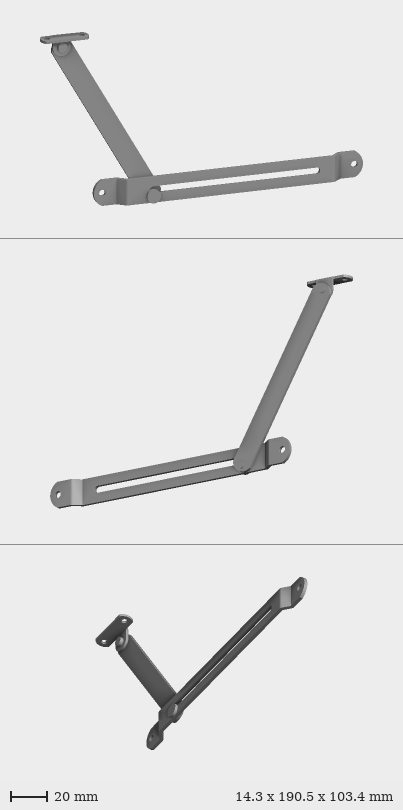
import cadquery as cq
import math


sheet = 2.0
arm_x = sheet
second_layer_x = arm_x + sheet
rivet_tail_proud = 0.5
rivet_head_end_x = 7.6

rail_length = 156.7
rail_height = 14.9
rail_end_depth = 4.7
rail_hole_diameter = 3.8
rail_hole_inset = 5.0
rail_end_flat = 13.2
bend_angle = math.radians(40)
slot_width = 4.0
slot_far_y = 130.3
rail_mid_z = rail_height / 2

arm_span = 106.2
arm_angle = 60.0
arm_width = 12.3
arm_tip = 3.5
arm_end_radius = 6.7

lower_pivot_y = 33.2
lower_pivot_z = 4.0
upper_pivot_y = lower_pivot_y - arm_span * math.cos(math.radians(arm_angle))
upper_pivot_z = lower_pivot_z + arm_span * math.sin(math.radians(arm_angle))
lower_shank_diameter = slot_width
lower_head_diameter = 2 * lower_pivot_z
upper_shank_diameter = 4.2
upper_head_diameter = 5.4

bracket_sheet = 1.5
bracket_top = 103.4
flange_edge_x = 14.3
flange_length = 27.8
flange_end_depth = 2.0
flange_hole_spacing = 20.2
flange_hole_diameter = 3.2
tab_width = 10.4


def x_cylinder(diameter, x_start, x_end, y, z):
    """Cylinder along X between two X positions."""
    plane = cq.Plane(origin=(x_start, y, z), xDir=(0, 1, 0), normal=(1, 0, 0))
    return cq.Workplane(plane).circle(diameter / 2).extrude(x_end - x_start)


def arc_ended_strip(plane, length, width, end_depth):
    """Sketch of a strip centred on the plane, both ends bowed outward by end_depth."""
    half_width = width / 2
    tip = length / 2
    shoulder = tip - end_depth
    return (
        cq.Workplane(plane)
        .moveTo(-shoulder, -half_width)
        .lineTo(shoulder, -half_width)
        .threePointArc((tip, 0), (shoulder, half_width))
        .lineTo(-shoulder, half_width)
        .threePointArc((-tip, 0), (-shoulder, -half_width))
        .close()
    )


def rail_half():
    """Near half of the joggled strip; each bend is sharp inside and round outside."""
    rise_x = sheet * math.cos(bend_angle)
    rise_y = sheet * math.sin(bend_angle)
    mid_x = sheet * math.cos(bend_angle / 2)
    mid_y = sheet * math.sin(bend_angle / 2)
    joggle_run = sheet * (1 + math.cos(bend_angle)) / math.sin(bend_angle)
    first_x, first_y = sheet, rail_end_flat
    second_x, second_y = second_layer_x, rail_end_flat + joggle_run
    middle_y = rail_length / 2
    return (
        cq.Workplane("XY")
        .moveTo(0, 0)
        .lineTo(0, first_y)
        .threePointArc((first_x - mid_x, first_y + mid_y), (first_x - rise_x, first_y + rise_y))
        .lineTo(second_x, second_y)
        .lineTo(second_x, middle_y)
        .lineTo(second_x + sheet, middle_y)
        .lineTo(second_x + sheet, second_y)
        .threePointArc((second_x + mid_x, second_y - mid_y), (second_x + rise_x, second_y - rise_y))
        .lineTo(first_x, first_y)
        .lineTo(first_x, 0)
        .close()
        .extrude(rail_height)
    )


def make_rail():
    """Joggled rail with bowed ends, screw holes and a slot that drops to the lower rivet."""
    middle_y = rail_length / 2
    half = rail_half()
    strip = half.union(half.mirror("XZ", (0, middle_y, 0))).clean()
    outline_plane = cq.Plane(origin=(0, middle_y, rail_mid_z), xDir=(0, 1, 0), normal=(1, 0, 0))
    outline = arc_ended_strip(outline_plane, rail_length, rail_height, rail_end_depth)
    rail_right_x = second_layer_x + sheet
    rail = strip.intersect(outline.extrude(rail_right_x))

    for hole_y in (rail_hole_inset, rail_length - rail_hole_inset):
        rail = rail.cut(x_cylinder(rail_hole_diameter, 0, rail_right_x, hole_y, rail_mid_z))

    slot_length = slot_far_y - lower_pivot_y + slot_width / 2
    slot_centre_y = slot_far_y - slot_length / 2
    slot_plane = cq.Plane(origin=(0, slot_centre_y, rail_mid_z), xDir=(0, 1, 0), normal=(1, 0, 0))
    slot = cq.Workplane(slot_plane).slot2D(slot_length, slot_width).extrude(rail_right_x)
    notch_height = rail_mid_z - lower_pivot_z
    notch = cq.Workplane("XY").box(rail_right_x, slot_width, notch_height, centered=(False, True, False))
    notch = notch.translate((0, lower_pivot_y, lower_pivot_z))
    notch_end = x_cylinder(lower_shank_diameter, 0, rail_right_x, lower_pivot_y, lower_pivot_z)
    return rail.cut(slot).cut(notch).cut(notch_end)


def make_arm():
    """Straight arm with bowed ends, pierced at both rivets."""
    angle = math.radians(arm_angle)
    centre = (arm_x, (lower_pivot_y + upper_pivot_y) / 2, (lower_pivot_z + upper_pivot_z) / 2)
    plane = cq.Plane(origin=centre, xDir=(0, -math.cos(angle), math.sin(angle)), normal=(1, 0, 0))
    half_width = arm_width / 2
    end_depth = arm_end_radius - math.sqrt(arm_end_radius**2 - half_width**2)
    arm = arc_ended_strip(plane, arm_span + 2 * arm_tip, arm_width, end_depth).extrude(sheet)
    lower_hole = x_cylinder(
        lower_shank_diameter, arm_x, second_layer_x, lower_pivot_y, lower_pivot_z
    )
    upper_hole = x_cylinder(
        upper_shank_diameter, arm_x, second_layer_x, upper_pivot_y, upper_pivot_z
    )
    return arm.cut(lower_hole).cut(upper_hole)


def make_bracket():
    """Angle bracket: a horizontal screw flange bent into a hanging tab with a round end."""
    bend_x = second_layer_x + bracket_sheet
    bend_z = bracket_top - bracket_sheet
    flange_width = flange_edge_x - bend_x
    flange_plane = cq.Plane(
        origin=(bend_x + flange_width / 2, upper_pivot_y, bend_z), xDir=(0, 1, 0), normal=(0, 0, 1)
    )
    flange_outline = arc_ended_strip(flange_plane, flange_length, flange_width, flange_end_depth)
    flange = flange_outline.extrude(bracket_sheet)
    holes = (
        cq.Workplane(flange_plane)
        .pushPoints([(-flange_hole_spacing / 2, 0), (flange_hole_spacing / 2, 0)])
        .circle(flange_hole_diameter / 2)
        .extrude(bracket_sheet)
    )
    flange = flange.cut(holes)

    bend_mid = bracket_sheet * math.sqrt(0.5)
    bend = (
        cq.Workplane(cq.Plane(origin=(bend_x, upper_pivot_y, bend_z), xDir=(1, 0, 0), normal=(0, -1, 0)))
        .moveTo(0, 0)
        .lineTo(0, bracket_sheet)
        .threePointArc((-bend_mid, bend_mid), (-bracket_sheet, 0))
        .close()
        .extrude(tab_width / 2, both=True)
    )

    tab_drop = bend_z - upper_pivot_z
    tab = cq.Workplane("XY").box(bracket_sheet, tab_width, tab_drop, centered=(False, True, False))
    tab = tab.translate((second_layer_x, upper_pivot_y, upper_pivot_z))
    tab_end = x_cylinder(tab_width, second_layer_x, bend_x, upper_pivot_y, upper_pivot_z)
    rivet_hole = x_cylinder(
        upper_shank_diameter, second_layer_x, bend_x, upper_pivot_y, upper_pivot_z
    )
    return tab.union(tab_end).cut(rivet_hole).union(bend).union(flange)


def make_rivet(y, z, shank_diameter, head_diameter, plate_thickness):
    """Rivet whose shank fills the arm and the plate behind it, with a head on the +X side."""
    head_x = second_layer_x + plate_thickness
    shank = x_cylinder(shank_diameter, arm_x - rivet_tail_proud, head_x, y, z)
    return shank.union(x_cylinder(head_diameter, head_x, rivet_head_end_x, y, z))


rail = make_rail()
arm = make_arm()
bracket = make_bracket()
rivets = [
    make_rivet(lower_pivot_y, lower_pivot_z, lower_shank_diameter, lower_head_diameter, sheet),
    make_rivet(upper_pivot_y, upper_pivot_z, upper_shank_diameter, upper_head_diameter, bracket_sheet),
]

result = cq.Compound.makeCompound(
    [rail.val(), arm.val(), bracket.val()] + [rivet.val() for rivet in rivets]
)